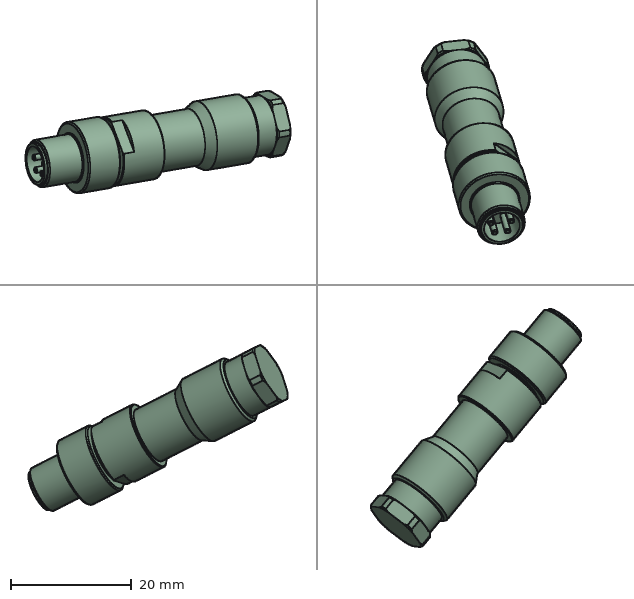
import cadquery as cq
import math


PLUG_STEP_Y = 0.45
NUT_FRONT_Y = 6.9
NUT_BACK_Y = 12.9
BODY_FRONT_Y = 13.5
BODY_BACK_Y = 21.25
FLARE_START_Y = 29.25
FLARE_END_Y = 31.0
SLEEVE_BACK_Y = 39.0
HEX_FRONT_Y = 42.5
LENGTH = 45.0

LIP_RADIUS = 3.5
PLUG_RADIUS = 4.0
NUT_RADIUS = 6.0
NECK_RADIUS = 4.3
BODY_RADIUS = 5.8
GRIP_RADIUS = 4.8
COLLAR_RADIUS = 5.0

EDGE_CHAMFER = 0.25
PLUG_ROOT_CHAMFER = 0.2
BODY_CHAMFER = 0.15
SLEEVE_CHAMFER = 0.4

HEX_ACROSS_FLATS = 10.0
HEX_CORNER_RADIUS = 5.5

BODY_FLAT_DISTANCE = 4.95
BODY_FLAT_LENGTH = 2.05
BODY_FLAT_ANGLES = (45, 225)

BORE_RADIUS = 3.0
BORE_DEPTH = 5.0
PIN_RADIUS = 0.5
PIN_CHAMFER = 0.2
PIN_TIP_Y = 0.5
PIN_UPPER_X = 1.7
PIN_UPPER_Z = 0.53
PIN_LOWER_X = 1.08
PIN_LOWER_Z = -1.47


def revolve_profile(points):
    """Turn (radius, y) points, closed along the axis, about the Y axis."""
    outline = cq.Workplane("XY").polyline(points).close()
    return outline.revolve(360, (0, 0, 0), (0, 1, 0))


def rod(radius, start_y, end_y, x=0, z=0):
    """Cylinder parallel to Y between two stations."""
    axis_plane = cq.Plane(origin=(x, start_y, z), xDir=(1, 0, 0), normal=(0, 1, 0))
    return cq.Workplane(axis_plane).circle(radius).extrude(end_y - start_y)


def turned_section(radius, start_y, end_y, chamfer):
    """Cylinder about the axis with a 45 degree chamfer at each end."""
    return revolve_profile([
        (0, start_y),
        (radius - chamfer, start_y),
        (radius, start_y + chamfer),
        (radius, end_y - chamfer),
        (radius - chamfer, end_y),
        (0, end_y),
    ])


def make_plug():
    return revolve_profile([
        (0, 0),
        (LIP_RADIUS, 0),
        (LIP_RADIUS, PLUG_STEP_Y),
        (PLUG_RADIUS - EDGE_CHAMFER, PLUG_STEP_Y),
        (PLUG_RADIUS, PLUG_STEP_Y + EDGE_CHAMFER),
        (PLUG_RADIUS, NUT_FRONT_Y - PLUG_ROOT_CHAMFER),
        (PLUG_RADIUS + PLUG_ROOT_CHAMFER, NUT_FRONT_Y),
        (0, NUT_FRONT_Y),
    ])


def make_nut():
    return turned_section(NUT_RADIUS, NUT_FRONT_Y, NUT_BACK_Y, EDGE_CHAMFER)


def make_body():
    body = turned_section(BODY_RADIUS, BODY_FRONT_Y, BODY_BACK_Y, BODY_CHAMFER)
    flat_cutter = (
        cq.Workplane("XY")
        .box(BODY_RADIUS, BODY_FLAT_LENGTH, 2 * BODY_RADIUS, centered=(False, False, True))
        .translate((BODY_FLAT_DISTANCE, BODY_FRONT_Y, 0))
    )
    for angle in BODY_FLAT_ANGLES:
        body = body.cut(flat_cutter.rotate((0, 0, 0), (0, -1, 0), angle))
    return body


def make_sleeve():
    return revolve_profile([
        (0, FLARE_START_Y),
        (GRIP_RADIUS, FLARE_START_Y),
        (BODY_RADIUS, FLARE_END_Y),
        (BODY_RADIUS, SLEEVE_BACK_Y - SLEEVE_CHAMFER),
        (BODY_RADIUS - SLEEVE_CHAMFER, SLEEVE_BACK_Y),
        (0, SLEEVE_BACK_Y),
    ])


def make_hexagon():
    across_corners = HEX_ACROSS_FLATS / math.cos(math.pi / 6)
    hex_plane = cq.Plane(origin=(0, HEX_FRONT_Y, 0), xDir=(1, 0, 0), normal=(0, 1, 0))
    prism = cq.Workplane(hex_plane).polygon(6, across_corners).extrude(LENGTH - HEX_FRONT_Y)
    corner_envelope = turned_section(
        HEX_CORNER_RADIUS, HEX_FRONT_Y, LENGTH, EDGE_CHAMFER
    )
    return prism.intersect(corner_envelope)


def make_pin(x, z):
    pin = rod(PIN_RADIUS, PIN_TIP_Y, BORE_DEPTH, x, z)
    return pin.faces("<Y").chamfer(PIN_CHAMFER)


result = make_plug().cut(rod(BORE_RADIUS, 0, BORE_DEPTH))
result = result.union(make_nut())
result = result.union(rod(NECK_RADIUS, NUT_BACK_Y, BODY_FRONT_Y))
result = result.union(make_body())
result = result.union(rod(GRIP_RADIUS, BODY_BACK_Y, FLARE_START_Y))
result = result.union(make_sleeve())
result = result.union(rod(COLLAR_RADIUS, SLEEVE_BACK_Y, HEX_FRONT_Y))
result = result.union(make_hexagon())
for side in (-1, 1):
    result = result.union(make_pin(side * PIN_UPPER_X, PIN_UPPER_Z))
    result = result.union(make_pin(side * PIN_LOWER_X, PIN_LOWER_Z))